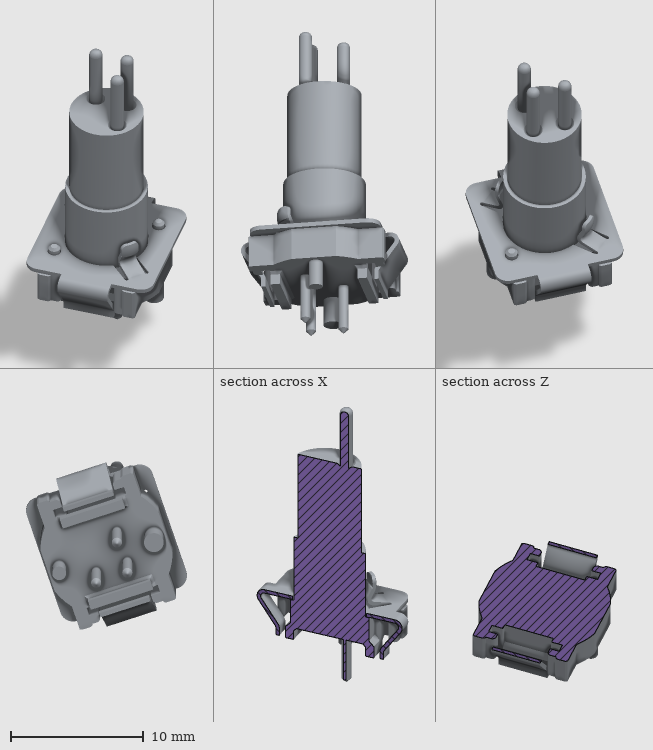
import cadquery as cq
import math

OVERALL_HEIGHT = 23.8
PIN_TOP_Z = 17.5
PIN_TIP_Z = PIN_TOP_Z - OVERALL_HEIGHT
TUBE_TOP_Z = 12.78
COLLAR_TOP_Z = 5.5
BLOCK_BOTTOM_Z = -2.45
FOOT_BOTTOM_Z = -3.45
PEG_BOTTOM_Z = -4.45

TUBE_R = 2.8
COLLAR_R = 3.12

BLOCK_HALF_X = 4.7
FLAT_HALF_Y = 1.7
SIDE_ARC_R = 5.0
CORNER_HALF_X = 3.83
CORNER_ARC_Y = 3.24
CORNER_INNER_X = 2.83
WALL_Y = 3.7
RIB_Y = 5.2
RIB_CHAMFER_X = 0.17
RIB_CHAMFER_Y = 0.1
LIP_INNER_X = 2.1
LIP_OUTER_Y = 5.0
LIP_INNER_Y = 4.33
LIP_RADIUS = 0.3
RAMP_HALF_X = 1.95
RAMP_DEPTH = 0.4

FOOT_HALF_X = 2.48
FOOT_INNER_Y = 2.98
FOOT_FLARE = 0.21

PIN_OFFSET = 1.24
PIN_PLACES = [(-PIN_OFFSET, PIN_OFFSET), (PIN_OFFSET, PIN_OFFSET), (PIN_OFFSET, -PIN_OFFSET)]
PIN_R = 0.5
PIN_DOME_RADIUS = 0.4
TAIL_R = 0.38
SINK_R = 0.71

LOCATING_PEG_X = 3.75
SMALL_PEG_R = 0.52
LARGE_PEG_R = 0.74
RIVET_PLACES = [(3.3, 2.6), (-3.3, -2.6)]
RIVET_R = 0.45
RIVET_HOLE_R = 0.5
RIVET_TOP_Z = 0.83
RIVET_CHAMFER = 0.2

SHEET = 0.33
PLATE_SIDE = 10.0
PLATE_CORNER_R = 1.0
PLATE_HOLE_R = 3.2

CLIP_WIDTH = 3.95
CLIP_REACH = 6.05
CLIP_BEND_R = 0.65
CLIP_LEAN = 36
CLIP_TAIL_BEND_R = 0.38
CLIP_TAIL_Y = 4.5
CLIP_TAIL_END_Z = -3.38

SLOT_WIDTH = 2.0
TONGUE_WIDTH = 1.4
TONGUE_THICKNESS = 0.3
TONGUE_ROOT_R = 4.93
TONGUE_ROOT_OVERLAP = 0.2
TONGUE_RISE = 15
TONGUE_LEAN = 27
TONGUE_ROOT_BEND_R = 0.35
TONGUE_BEND_R = 0.43
TONGUE_RAMP = 1.21
TONGUE_ARM = 0.7
TIP_SPHERE_R = 1.55
TIP_THICKNESS = 0.24
TIP_CENTRE_R = 2.52
TIP_CENTRE_Z = 2.12
TIP_HEIGHT = 1.1
TIP_INNER_R = 3.45
TIP_CORNER_R = 0.43
TONGUE_ANGLES = (135, -45)


def cylinder(radius, bottom_z, top_z, place=(0, 0)):
    return cq.Workplane("XY", origin=(*place, bottom_z)).circle(radius).extrude(top_z - bottom_z)


def box(x_range, y_range, z_range):
    """A block between the two limits given along each axis."""
    ranges = (x_range, y_range, z_range)
    sizes = [high - low for low, high in ranges]
    return cq.Workplane("XY").box(*sizes, centered=False).translate(tuple(low for low, high in ranges))


def both_ends(part):
    """The part together with its copy turned half a turn about Z."""
    return part.union(part.rotate((0, 0, 0), (0, 0, 1), 180))


def bent_strip(start_x, start_z, heading, steps, thickness, width):
    """A strip of sheet in the XZ plane that starts level, heading along +X (0) or -X (180).

    Each step is (straight length, turn in degrees, bend radius), measured on the mid-line.
    """
    x, z = start_x, start_z
    angle = math.radians(heading)
    mid_line = cq.Workplane("XZ").moveTo(x, z)
    for length, turn_degrees, radius in steps:
        x += length * math.cos(angle)
        z += length * math.sin(angle)
        mid_line = mid_line.lineTo(x, z)
        if turn_degrees:
            turn = math.radians(turn_degrees)
            chord = 2 * radius * math.sin(abs(turn) / 2)
            x += chord * math.cos(angle + turn / 2)
            z += chord * math.sin(angle + turn / 2)
            angle += turn
            mid_line = mid_line.tangentArcPoint((x, z), relative=False)
    section = cq.Workplane("YZ", origin=(start_x, 0, start_z)).rect(width, thickness)
    return section.sweep(mid_line)




def block_quarter():
    """The +X, +Y quarter of the block: a bowed side, a corner rib and a lip that holds the clip."""
    shoulder_y = RIB_Y - RIB_CHAMFER_Y
    outline = (
        cq.Workplane("XY", origin=(0, 0, BLOCK_BOTTOM_Z))
        .lineTo(BLOCK_HALF_X, 0)
        .lineTo(BLOCK_HALF_X, FLAT_HALF_Y)
        .radiusArc((CORNER_HALF_X, CORNER_ARC_Y), -SIDE_ARC_R)
        .lineTo(CORNER_HALF_X, shoulder_y)
        .lineTo(CORNER_HALF_X - RIB_CHAMFER_X, RIB_Y)
        .lineTo(CORNER_INNER_X + RIB_CHAMFER_X, RIB_Y)
        .lineTo(CORNER_INNER_X, shoulder_y)
        .lineTo(CORNER_INNER_X, LIP_OUTER_Y)
        .lineTo(LIP_INNER_X + LIP_RADIUS, LIP_OUTER_Y)
        .radiusArc((LIP_INNER_X, LIP_OUTER_Y - LIP_RADIUS), -LIP_RADIUS)
        .lineTo(LIP_INNER_X, LIP_INNER_Y)
        .lineTo(CORNER_INNER_X, LIP_INNER_Y)
        .lineTo(CORNER_INNER_X, WALL_Y)
        .lineTo(0, WALL_Y)
        .close()
    )
    return outline.extrude(-BLOCK_BOTTOM_Z)


def ramp_recess():
    """The recess behind the clip at +Y, with a floor that slopes up from the wall's lower edge."""
    floor_end = (WALL_Y - RAMP_DEPTH, BLOCK_BOTTOM_Z + RAMP_DEPTH)
    return (
        cq.Workplane("YZ")
        .polyline([(WALL_Y, BLOCK_BOTTOM_Z), floor_end, (floor_end[0], 0), (WALL_Y, 0)])
        .close()
        .extrude(RAMP_HALF_X, both=True)
    )


def foot():
    """The foot under the wall at +Y, flared at its root on the two ends and the inner side.

    Its root reaches up into the block.
    """
    leg = box((-FOOT_HALF_X, FOOT_HALF_X), (FOOT_INNER_Y, WALL_Y), (FOOT_BOTTOM_Z, BLOCK_BOTTOM_Z))
    flare_half_x = FOOT_HALF_X + FOOT_FLARE
    root = box(
        (-flare_half_x, flare_half_x),
        (FOOT_INNER_Y - FOOT_FLARE, WALL_Y),
        (BLOCK_BOTTOM_Z - FOOT_FLARE, BLOCK_BOTTOM_Z + FOOT_FLARE),
    )
    return leg.union(root.faces("<Z").edges("<X or >X or <Y").chamfer(FOOT_FLARE))


def block():
    half = block_quarter()
    half = half.union(half.mirror("YZ")).union(foot()).cut(ramp_recess())
    return both_ends(half)


def contact_pin(place):
    """A pin with a domed top and a thinner tail that ends in a point."""
    upper = cylinder(PIN_R, 0, PIN_TOP_Z, place).faces(">Z").edges().fillet(PIN_DOME_RADIUS)
    tail = (
        cq.Workplane("XZ")
        .polyline([(0, 0), (TAIL_R, 0), (TAIL_R, PIN_TIP_Z + TAIL_R), (0, PIN_TIP_Z)])
        .close()
        .revolve(360, (0, 0, 0), (0, 1, 0))
        .translate((*place, 0))
    )
    return upper.union(tail)


def pin_countersink(place):
    depth = SINK_R - PIN_R
    return cq.Workplane(cq.Solid.makeCone(PIN_R, SINK_R, depth)).translate((*place, TUBE_TOP_Z - depth))


def rivet(place):
    return cylinder(RIVET_R, 0, RIVET_TOP_Z, place).faces(">Z").chamfer(RIVET_CHAMFER)


def make_housing():
    body = block()
    body = body.union(cylinder(COLLAR_R, 0, COLLAR_TOP_Z)).union(cylinder(TUBE_R, 0, TUBE_TOP_Z))
    for place in PIN_PLACES:
        body = body.cut(pin_countersink(place)).union(contact_pin(place))
    for place in RIVET_PLACES:
        body = body.union(rivet(place))
    body = body.union(cylinder(SMALL_PEG_R, PEG_BOTTOM_Z, BLOCK_BOTTOM_Z, (-LOCATING_PEG_X, 0)))
    return body.union(cylinder(LARGE_PEG_R, PEG_BOTTOM_Z, BLOCK_BOTTOM_Z, (LOCATING_PEG_X, 0)))




def plate():
    sheet = (
        cq.Workplane("XY")
        .rect(PLATE_SIDE, PLATE_SIDE)
        .extrude(SHEET)
        .edges("|Z")
        .fillet(PLATE_CORNER_R)
        .cut(cylinder(PLATE_HOLE_R, 0, SHEET))
    )
    for place in RIVET_PLACES:
        sheet = sheet.cut(cylinder(RIVET_HOLE_R, 0, SHEET, place))
    return sheet


def tongue_slot():
    """The slot along +X in which a tongue lies, with a round relief beside each side of its root."""
    relief_r = (SLOT_WIDTH - TONGUE_WIDTH) / 4
    relief_y = SLOT_WIDTH / 2 - relief_r
    slot = box((0, TONGUE_ROOT_R), (-SLOT_WIDTH / 2, SLOT_WIDTH / 2), (0, SHEET))
    for side in (-1, 1):
        slot = slot.union(cylinder(relief_r, 0, SHEET, (TONGUE_ROOT_R, side * relief_y)))
    return slot


def tongue_tip():
    """A spoon-shaped contact tip: a piece of a spherical shell with rounded upper corners."""
    hollow = cq.Workplane("XY").sphere(TIP_SPHERE_R - TIP_THICKNESS)
    shell = cq.Workplane("XY").sphere(TIP_SPHERE_R).cut(hollow)
    tip_outline = (
        cq.Workplane("YZ", origin=(TIP_INNER_R - TIP_CENTRE_R, 0, 0))
        .rect(TONGUE_WIDTH, TIP_HEIGHT)
        .extrude(TIP_SPHERE_R)
        .edges("|X and >Z")
        .fillet(TIP_CORNER_R)
    )
    return shell.intersect(tip_outline).translate((TIP_CENTRE_R, 0, TIP_CENTRE_Z))


def tongue():
    """A spring tongue along +X that rises toward the tube and turns back up to its contact tip."""
    turn_up = -(180 - TONGUE_RISE - (90 - TONGUE_LEAN))
    steps = [
        (TONGUE_ROOT_OVERLAP, -TONGUE_RISE, TONGUE_ROOT_BEND_R),
        (TONGUE_RAMP, turn_up, TONGUE_BEND_R),
        (TONGUE_ARM, 0, 0),
    ]
    start_x = TONGUE_ROOT_R + TONGUE_ROOT_OVERLAP
    strip = bent_strip(start_x, SHEET - TONGUE_THICKNESS / 2, 180, steps, TONGUE_THICKNESS, TONGUE_WIDTH)
    return strip.union(tongue_tip())


def clip():
    """A clip along +X: it bends below the plate, slopes inward and ends in an upright tail.

    It starts one sheet thickness inside the plate's edge, so that the two join.
    """
    bend_r = CLIP_BEND_R - SHEET / 2
    lean = math.radians(CLIP_LEAN)
    bend_centre_x = CLIP_REACH - CLIP_BEND_R
    mid_z = SHEET / 2
    tail_x = CLIP_TAIL_Y - SHEET / 2
    slope_start_x = bend_centre_x + bend_r * math.cos(lean)
    slope_start_z = mid_z - bend_r * (1 + math.sin(lean))
    tail_bend_run = CLIP_TAIL_BEND_R * (1 - math.cos(lean))
    tail_bend_drop = CLIP_TAIL_BEND_R * math.sin(lean)
    slope = (slope_start_x - tail_x - tail_bend_run) / math.sin(lean)
    tail_start_z = slope_start_z - slope * math.cos(lean) - tail_bend_drop
    start_x = PLATE_SIDE / 2 - SHEET
    steps = [
        (bend_centre_x - start_x, -90 - CLIP_LEAN, bend_r),
        (slope, CLIP_LEAN, CLIP_TAIL_BEND_R),
        (tail_start_z - CLIP_TAIL_END_Z, 0, 0),
    ]
    return bent_strip(start_x, mid_z, 0, steps, SHEET, CLIP_WIDTH)


def make_shield():
    sheet = plate()
    for angle in TONGUE_ANGLES:
        sheet = sheet.cut(tongue_slot().rotate((0, 0, 0), (0, 0, 1), angle))
        sheet = sheet.union(tongue().rotate((0, 0, 0), (0, 0, 1), angle))
    return sheet.union(both_ends(clip().rotate((0, 0, 0), (0, 0, 1), 90)))


housing = make_housing()
shield = make_shield()

result = cq.Compound.makeCompound([housing.solids().val(), shield.solids().val()])